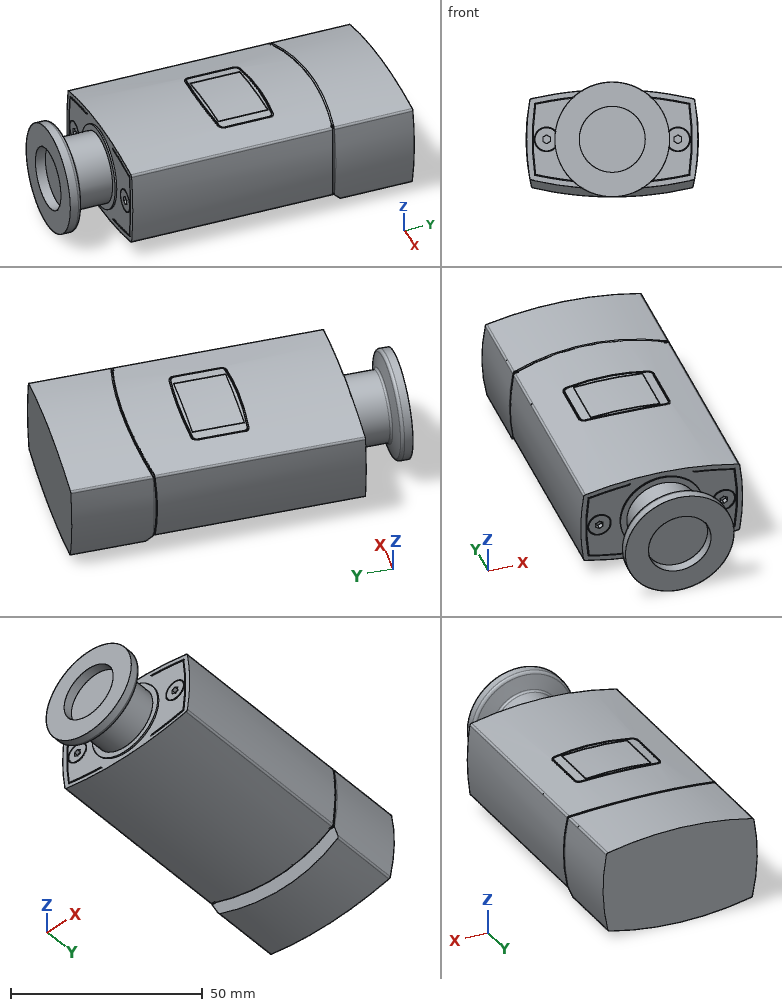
import cadquery as cq
import math


TOTAL_LENGTH = 94.2
FRONT_Y = 14.6
JOINT_Y = 72.0

HALF_WIDTH = 22.5
FRONT_HALF_WIDTH = 22.3
CORNER_X = 21.5
CORNER_Z = 10.55
HALF_HEIGHT = 13.0
CAP_DROP = 2.1
CORNER_RADIUS = 0.7

GROOVE_WIDTH = 0.4
GROOVE_DEPTH = 0.4
SIDE_JOINT_LEAN = 0.4
PANEL_INSET = 1.4
PANEL_GROOVE_WIDTH = 0.3
PANEL_GAP_RADIUS = 14.1

DISPLAY_Y = 51.2
FRAME_HALF_WIDTH = 12.5
FRAME_SIDE_HALF_LENGTH = 7.6
FRAME_MID_HALF_LENGTH = 8.4
FRAME_CORNER_RADIUS = 1.5
WINDOW_WIDTH = 19.0
WINDOW_LENGTH = 14.0
WINDOW_DEPTH = 0.2

SCREW_X = 17.1
SCREW_HEAD_DIAMETER = 6.0
SCREW_GAP_DEPTH = 0.4
SCREW_GAP = 0.2
SOCKET_WIDTH = 2.0
SOCKET_DEPTH = 1.4

FLANGE_RADIUS = 15.0
BORE_DIAMETER = 17.2
BORE_DEPTH = 2.8
RIM_WIDTH = 3.0
CLAMP_ANGLE = 15.0
NECK_RADIUS = 9.8
COLLAR_RADIUS = 11.5
COLLAR_THICKNESS = 0.5
RIM_FILLET = 0.9
NECK_FILLET = 0.7

SIDE_BOW = HALF_WIDTH - CORNER_X
SIDE_RADIUS = (CORNER_Z**2 + SIDE_BOW**2) / (2 * SIDE_BOW)
CAP_CORNER_Z = CORNER_Z + CAP_DROP
CAP_CORNER_X = HALF_WIDTH - SIDE_RADIUS + math.sqrt(SIDE_RADIUS**2 - CAP_CORNER_Z**2)
SLANT_END_Y = JOINT_Y + HALF_HEIGHT + CAP_DROP - CORNER_Z
TOUCH = 0.1
BEYOND = 4.7


def across(y):
    """Workplane across the housing at y, with local X along X, local Y along Z, facing -Y."""
    return cq.Workplane("XZ", origin=(0, y, 0))


def section(plane, half_width=HALF_WIDTH):
    """Outline of the front shell."""
    return (
        plane.moveTo(-CORNER_X, CORNER_Z)
        .threePointArc((0, HALF_HEIGHT), (CORNER_X, CORNER_Z))
        .threePointArc((half_width, 0), (CORNER_X, -CORNER_Z))
        .threePointArc((0, -HALF_HEIGHT), (-CORNER_X, -CORNER_Z))
        .threePointArc((-half_width, 0), (-CORNER_X, CORNER_Z))
        .close()
    )


def cap_section(plane):
    """Outline of the rear cap: the same bowed sides carried further down."""
    return (
        plane.moveTo(-CORNER_X, CORNER_Z)
        .threePointArc((0, HALF_HEIGHT), (CORNER_X, CORNER_Z))
        .threePointArc((HALF_WIDTH, 0), (CAP_CORNER_X, -CAP_CORNER_Z))
        .threePointArc((0, -HALF_HEIGHT - CAP_DROP), (-CAP_CORNER_X, -CAP_CORNER_Z))
        .threePointArc((-HALF_WIDTH, 0), (-CORNER_X, CORNER_Z))
        .close()
    )


def inner_core(depth):
    """Full-length block lying the given depth below the surface of the front shell."""
    return section(across(TOTAL_LENGTH)).offset2D(-depth).extrude(TOTAL_LENGTH - FRONT_Y)


def front_shell():
    front = section(across(FRONT_Y), FRONT_HALF_WIDTH).wires().val()
    back = section(across(JOINT_Y)).wires().val()
    shell = cq.Workplane(cq.Solid.makeLoft([front, back], True))
    return shell.edges("not (<Y or >Y)").fillet(CORNER_RADIUS)


def rear_cap():
    """Deeper rear end whose underside runs up to the joint at 45 degrees."""
    cap = cap_section(across(TOTAL_LENGTH)).extrude(TOTAL_LENGTH - JOINT_Y)
    cap = cap.edges("|Y").fillet(CORNER_RADIUS)
    reach = SLANT_END_Y - JOINT_Y + BEYOND
    wedge = (
        cq.Workplane("YZ")
        .moveTo(JOINT_Y, -CORNER_Z)
        .lineTo(JOINT_Y + reach, -CORNER_Z - reach)
        .lineTo(JOINT_Y, -CORNER_Z - reach)
        .close()
        .extrude(HALF_WIDTH + BEYOND, both=True)
    )
    shell_end = section(across(SLANT_END_Y)).extrude(SLANT_END_Y - JOINT_Y)
    shell_end = shell_end.edges("|Y").fillet(CORNER_RADIUS)
    return cap.cut(wedge).union(shell_end)


def joint_groove():
    """Groove around the joint: slanting back 45 degrees above and below, leaning forward at the sides."""
    slot_run = GROOVE_WIDTH * math.sqrt(2)
    rise = HALF_HEIGHT - CORNER_Z + BEYOND
    groove = None
    for side in (1, -1):
        slanted = (
            cq.Workplane("YZ")
            .moveTo(JOINT_Y, side * CORNER_Z)
            .lineTo(JOINT_Y + rise, side * (CORNER_Z + rise))
            .lineTo(JOINT_Y + rise - slot_run, side * (CORNER_Z + rise))
            .lineTo(JOINT_Y - slot_run, side * CORNER_Z)
            .close()
            .extrude(CORNER_X + BEYOND, both=True)
        )
        run = SIDE_JOINT_LEAN * BEYOND
        inner_x = CORNER_X - GROOVE_DEPTH
        leaning = (
            cq.Workplane("XY")
            .moveTo(side * inner_x, JOINT_Y)
            .lineTo(side * (inner_x + BEYOND), JOINT_Y - run)
            .lineTo(side * (inner_x + BEYOND), JOINT_Y - run - GROOVE_WIDTH)
            .lineTo(side * inner_x, JOINT_Y - GROOVE_WIDTH)
            .close()
            .extrude(CORNER_Z, both=True)
        )
        pair = slanted.union(leaning)
        groove = pair if groove is None else groove.union(pair)
    return groove.cut(inner_core(GROOVE_DEPTH))


def display_outline(inset):
    """Block under the display frame outline, drawn in by inset."""
    half_width = FRAME_HALF_WIDTH - inset
    side = FRAME_SIDE_HALF_LENGTH - inset
    middle = FRAME_MID_HALF_LENGTH - inset
    return (
        cq.Workplane("XY", origin=(0, DISPLAY_Y, 0))
        .moveTo(-half_width, -side)
        .threePointArc((0, -middle), (half_width, -side))
        .lineTo(half_width, side)
        .threePointArc((0, middle), (-half_width, side))
        .close()
        .extrude(HALF_HEIGHT + BEYOND)
        .edges("|Z")
        .fillet(FRAME_CORNER_RADIUS - inset)
    )


def display_cut():
    """Groove around the display and the shallow window inside it, both following the bowed top."""
    groove = display_outline(0).cut(display_outline(GROOVE_WIDTH)).cut(inner_core(GROOVE_DEPTH))
    window = (
        cq.Workplane("XY", origin=(0, DISPLAY_Y, 0))
        .rect(WINDOW_WIDTH, WINDOW_LENGTH)
        .extrude(HALF_HEIGHT + BEYOND)
        .cut(inner_core(WINDOW_DEPTH))
    )
    return groove.union(window)


def panel_groove():
    """Groove in the front face that outlines the end panel, left and right of the flange."""
    plane_y = FRONT_Y + GROOVE_DEPTH
    outer = section(across(plane_y), FRONT_HALF_WIDTH).offset2D(-PANEL_INSET).extrude(GROOVE_DEPTH)
    inner_inset = PANEL_INSET + PANEL_GROOVE_WIDTH
    inner = section(across(plane_y), FRONT_HALF_WIDTH).offset2D(-inner_inset).extrude(GROOVE_DEPTH)
    gap = across(plane_y).circle(PANEL_GAP_RADIUS).extrude(GROOVE_DEPTH)
    return outer.cut(inner).cut(gap)


def screw_cut(x):
    """Ring-shaped recess with a sloping outer wall around a screw head, and its hexagon socket."""
    head_radius = SCREW_HEAD_DIAMETER / 2
    outer_radius = head_radius + SCREW_GAP
    ring = (
        cq.Workplane("XY")
        .moveTo(head_radius, 0)
        .lineTo(outer_radius, 0)
        .lineTo(head_radius, SCREW_GAP_DEPTH)
        .close()
        .revolve(360, (0, 0, 0), (0, 1, 0))
        .translate((x, FRONT_Y, 0))
    )
    socket = (
        across(FRONT_Y + SOCKET_DEPTH)
        .center(x, 0)
        .polygon(6, SOCKET_WIDTH, circumscribed=True)
        .extrude(SOCKET_DEPTH)
    )
    return ring.union(socket)


def make_housing():
    housing = front_shell().union(rear_cap())
    housing = housing.cut(joint_groove())
    housing = housing.cut(display_cut())
    housing = housing.cut(panel_groove())
    for x in (-SCREW_X, SCREW_X):
        housing = housing.cut(screw_cut(x))
    return housing


def circle_at(y):
    """Selector for the circular edge of the flange fitting that lies at y."""
    reach = FLANGE_RADIUS + BEYOND
    return cq.selectors.BoxSelector((-reach, y - TOUCH, -reach), (reach, y + TOUCH, reach))


def make_flange():
    """Turned fitting: clamping flange, neck and the collar seated on the housing."""
    cone_end = RIM_WIDTH + (FLANGE_RADIUS - NECK_RADIUS) * math.tan(math.radians(CLAMP_ANGLE))
    collar_y = FRONT_Y - COLLAR_THICKNESS
    body = (
        cq.Workplane("XY")
        .lineTo(FLANGE_RADIUS, 0)
        .lineTo(FLANGE_RADIUS, RIM_WIDTH)
        .lineTo(NECK_RADIUS, cone_end)
        .lineTo(NECK_RADIUS, collar_y)
        .lineTo(COLLAR_RADIUS, collar_y)
        .lineTo(COLLAR_RADIUS, FRONT_Y)
        .lineTo(0, FRONT_Y)
        .close()
        .revolve(360, (0, 0, 0), (0, 1, 0))
    )
    body = body.edges(circle_at(RIM_WIDTH)).fillet(RIM_FILLET)
    body = body.edges(circle_at(cone_end)).fillet(NECK_FILLET)
    bore = across(BORE_DEPTH).circle(BORE_DIAMETER / 2).extrude(BORE_DEPTH)
    return body.cut(bore)


housing = make_housing()
flange = make_flange()
result = cq.Compound.makeCompound([housing.val(), flange.val()])